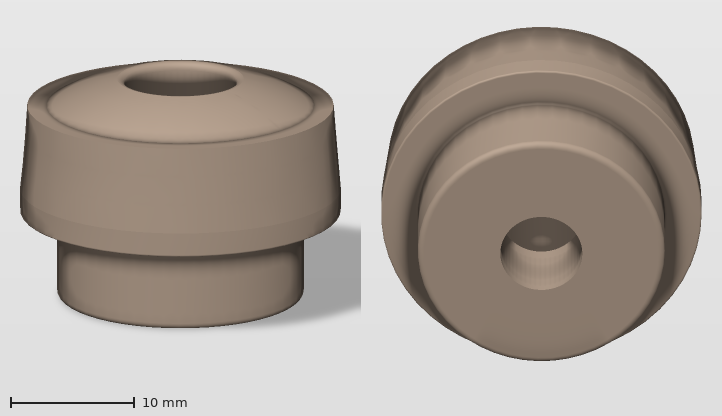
import cadquery as cq
import math

total_height = 18.25

stem_radius = 20 / 2
stem_edge_fillet = 0.5
stem_root_fillet = 0.2

collar_radius = 25.95 / 2
collar_bottom = 7.0
collar_edge_fillet = 0.15
taper_start = 9.0
shoulder_height = 16.0
shoulder_radius = 12.4

dome_base_radius = 10.85
dome_mid_radius = 8.2
dome_mid_height = 17.32

search_margin = 0.03

bore_radius = 9.0 / 2
mouth_rounding = 0.62
mouth_radius = bore_radius + mouth_rounding
through_radius = 6.65 / 2
ridge_radius = 8.25 / 2
ridge_height = collar_bottom
ridge_inner_slope = math.radians(15)
ridge_outer_slope = math.radians(60)


def revolve_about_z(profile):
    """Turn a closed radius-height profile around the Z axis."""
    return profile.close().revolve(360, (0, 0, 0), (0, 1, 0))


def make_body():
    """Stem, collar, tapered head and dome as one turned solid."""
    profile = (
        cq.Workplane("XZ")
        .lineTo(stem_radius, 0)
        .lineTo(stem_radius, collar_bottom)
        .lineTo(collar_radius, collar_bottom)
        .lineTo(collar_radius, taper_start)
        .lineTo(shoulder_radius, shoulder_height)
        .lineTo(dome_base_radius, shoulder_height)
        .threePointArc((dome_mid_radius, dome_mid_height), (mouth_radius, total_height))
        .lineTo(0, total_height)
    )
    return revolve_about_z(profile)


def round_edge(body, radius, height, fillet_radius):
    """Fillet the full-circle edge with the given radius and height."""
    box = cq.selectors.BoxSelector(
        (-radius - search_margin, -radius - search_margin, height - search_margin),
        (radius + search_margin, radius + search_margin, height + search_margin),
        boundingbox=True,
    )
    return body.edges("%CIRCLE").edges(box).edges(cq.selectors.RadiusNthSelector(-1)).fillet(fillet_radius)


def make_bore():
    """Rounded mouth, wide bore, two-sided conical ridge and narrow through hole."""
    seat_inner_height = ridge_height - (ridge_radius - through_radius) * math.tan(ridge_inner_slope)
    groove_height = ridge_height - (bore_radius - ridge_radius) * math.tan(ridge_outer_slope)
    arc_offset = mouth_rounding * math.sqrt(0.5)
    profile = (
        cq.Workplane("XZ")
        .lineTo(through_radius, 0)
        .lineTo(through_radius, seat_inner_height)
        .lineTo(ridge_radius, ridge_height)
        .lineTo(bore_radius, groove_height)
        .lineTo(bore_radius, total_height - mouth_rounding)
        .threePointArc(
            (mouth_radius - arc_offset, total_height - mouth_rounding + arc_offset),
            (mouth_radius, total_height),
        )
        .lineTo(0, total_height)
    )
    return revolve_about_z(profile)


body = make_body()
body = round_edge(body, stem_radius, 0, stem_edge_fillet)
body = round_edge(body, stem_radius, collar_bottom, stem_root_fillet)
body = round_edge(body, collar_radius, collar_bottom, collar_edge_fillet)
result = body.cut(make_bore())